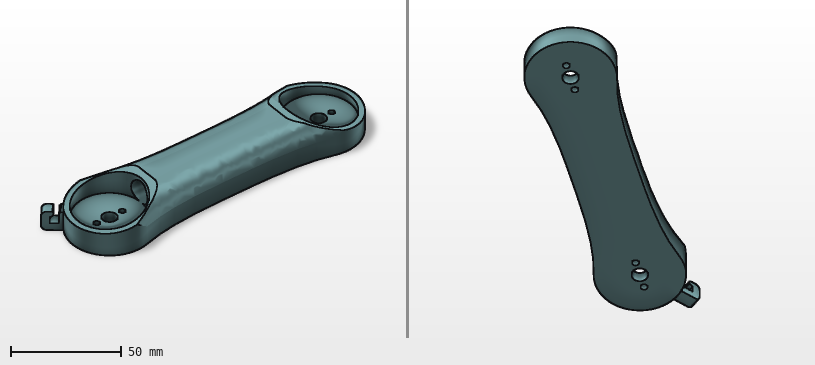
import cadquery as cq
import math

cup_spacing = 120.0
cup_radius = 21.0
pocket_radius = 18.0
arm_height = 21.0
waist_half_width = 15.3
join_y = 6.0
shoulder_radius = 11.0
floor_height = 6.0
center_hole_diameter = 7.5
screw_hole_diameter = 3.2
screw_hole_offset = 7.3
bore_radius = 6.0
bore_height = 11.8

front_scoop_start = 21.3
front_scoop_mid_height = 14.7
front_scoop_end_height = 12.0
back_rim_height = 10.3
back_slope_start = 96.5
back_kink_height = 19.2
back_arc_mid = (116.7, 13.2)
back_arc_end = 133.3

clip_angle = 230.0
clip_width = 6.0
clip_height = 10.5
clip_outer_radius = 31.0
clip_corner_radius = 2.7
slot_inner_radius = 22.8
slot_mouth_width = 2.5
slot_width = 4.2
slot_floor = 4.0
lip_tip_height = 8.5
lip_root_height = 7.2
prong_chamfer = 0.8
lip_chamfer = 0.5

cut_margin = 8.3
mid_y = cup_spacing / 2
cup_centers = [(0, 0), (0, cup_spacing)]

join_x = math.sqrt(cup_radius**2 - join_y**2)
tangent_slope = join_y / join_x


def waisted_slab(overrun):
    """Full-height slab with waisted sides, running straight on past each join by overrun along Y."""
    end_x = join_x + tangent_slope * overrun
    end_y = join_y - overrun
    inward, outward = (-tangent_slope, 1), (tangent_slope, 1)
    return (
        cq.Workplane("XY").moveTo(end_x, end_y)
        .lineTo(join_x, join_y)
        .spline(
            [(waist_half_width, mid_y), (join_x, cup_spacing - join_y)],
            tangents=[inward, outward], includeCurrent=True,
        )
        .lineTo(end_x, cup_spacing - end_y)
        .lineTo(-end_x, cup_spacing - end_y)
        .lineTo(-join_x, cup_spacing - join_y)
        .spline(
            [(-waist_half_width, mid_y), (-join_x, join_y)],
            tangents=[(tangent_slope, -1), (-tangent_slope, -1)], includeCurrent=True,
        )
        .lineTo(-end_x, end_y)
        .close().extrude(arm_height)
    )

def make_blank():
    """Round cups and the bridge between them, all under the rounded shoulders."""
    shoulders = waisted_slab(join_y + cup_radius + cut_margin)
    shoulders = shoulders.faces(">Z").edges("not |X").fillet(shoulder_radius)
    cups = cq.Workplane("XY").pushPoints(cup_centers).circle(cup_radius).extrude(arm_height)
    bridge_span = (
        cq.Workplane("XY", origin=(0, mid_y, 0))
        .rect(2 * cup_radius + cut_margin, cup_spacing - 2 * join_y).extrude(arm_height)
    )
    return shoulders.intersect(bridge_span).union(cups.intersect(shoulders))


def scoop_cutter(profile):
    """Sweep a closed Y-Z profile across the whole width of the arm."""
    return profile.close().extrude(cup_radius + cut_margin, both=True)


def make_scoops():
    above = arm_height + cut_margin
    front_end = -cup_radius
    front = scoop_cutter(
        cq.Workplane("YZ").moveTo(front_scoop_start, arm_height)
        .threePointArc((0, front_scoop_mid_height), (front_end, front_scoop_end_height))
        .lineTo(front_end - cut_margin, front_scoop_end_height)
        .lineTo(front_end - cut_margin, above)
        .lineTo(front_scoop_start, above)
    )
    back_end = cup_spacing + cup_radius + cut_margin
    back = scoop_cutter(
        cq.Workplane("YZ").moveTo(back_slope_start, arm_height)
        .lineTo(cup_spacing - pocket_radius, back_kink_height)
        .threePointArc(back_arc_mid, (back_arc_end, back_rim_height))
        .lineTo(back_end, back_rim_height)
        .lineTo(back_end, above)
        .lineTo(back_slope_start, above)
    )
    return front, back


def make_arm():
    arm = make_blank()
    for scoop in make_scoops():
        arm = arm.cut(scoop)
    pockets = (
        cq.Workplane("XY").workplane(offset=floor_height)
        .pushPoints(cup_centers).circle(pocket_radius).extrude(arm_height)
    )
    center_holes = (
        cq.Workplane("XY").pushPoints(cup_centers)
        .circle(center_hole_diameter / 2).extrude(floor_height)
    )
    screw_points = [(x, y + side * screw_hole_offset) for x, y in cup_centers for side in (-1, 1)]
    screw_holes = (
        cq.Workplane("XY").pushPoints(screw_points)
        .circle(screw_hole_diameter / 2).extrude(floor_height)
    )
    bore = (
        cq.Workplane("XZ", origin=(0, mid_y, bore_height))
        .circle(bore_radius).extrude(mid_y - pocket_radius / 2, both=True)
    )
    bore_above_floor = bore.intersect(
        cq.Workplane("XY").box(2 * cup_radius, 2 * cup_spacing, arm_height, centered=(True, True, False))
        .translate((0, mid_y, floor_height))
    )
    return arm.cut(pockets).cut(center_holes).cut(screw_holes).cut(bore_above_floor)


def make_clip():
    """Build the clip along +X, seat it on the cup wall and turn it into place."""
    block = (
        cq.Workplane("XY")
        .box(clip_outer_radius, clip_width, clip_height, centered=(False, True, False))
        .edges(">X and |Y").fillet(clip_corner_radius)
    )
    mouth_outer_radius = slot_inner_radius + slot_mouth_width
    slot = (
        cq.Workplane("XZ")
        .moveTo(slot_inner_radius, slot_floor)
        .lineTo(slot_inner_radius + slot_width, slot_floor)
        .lineTo(slot_inner_radius + slot_width, lip_root_height)
        .lineTo(mouth_outer_radius, lip_tip_height)
        .lineTo(mouth_outer_radius, clip_height - lip_chamfer)
        .lineTo(mouth_outer_radius + lip_chamfer, clip_height)
        .lineTo(slot_inner_radius - prong_chamfer, clip_height)
        .lineTo(slot_inner_radius, clip_height - prong_chamfer)
        .close().extrude(clip_width, both=True)
    )
    cup = cq.Workplane("XY").circle(cup_radius).extrude(arm_height)
    clip = block.cut(slot).cut(cup)
    return clip.rotate((0, 0, 0), (0, 0, 1), clip_angle)


arm = make_arm()
clip = make_clip()
result = cq.Compound.makeCompound([arm.solids().val(), clip.solids().val()])